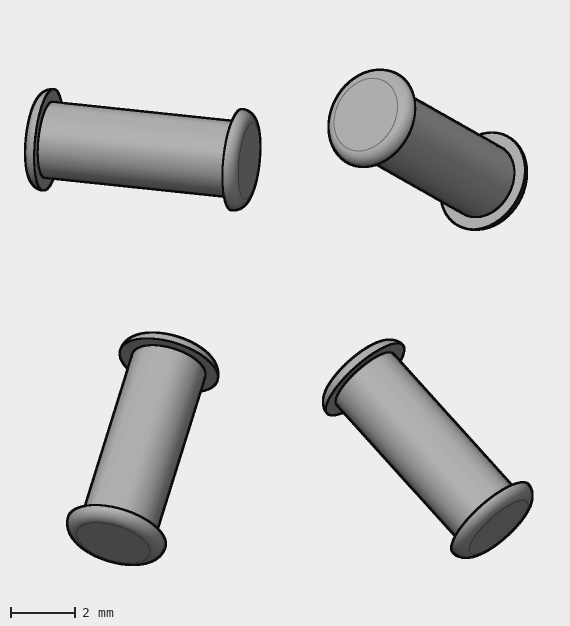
import cadquery as cq
import math

shank_diameter = 2.38
shank_length = 6.096
head_thickness = 0.397

shank_radius = shank_diameter / 2
head_radius = shank_radius + head_thickness
inner_face = shank_length / 2
outer_face = inner_face + head_thickness
arc_offset = head_thickness * math.sqrt(0.5)


def rivet_half_profile():
    """Half section in the XZ plane: shank with a round-edged head at each end."""
    return (
        cq.Workplane("XZ")
        .moveTo(-outer_face, 0)
        .lineTo(-outer_face, shank_radius)
        .threePointArc(
            (-inner_face - arc_offset, shank_radius + arc_offset),
            (-inner_face, head_radius),
        )
        .lineTo(-inner_face, shank_radius)
        .lineTo(inner_face, shank_radius)
        .lineTo(inner_face, head_radius)
        .threePointArc(
            (inner_face + arc_offset, shank_radius + arc_offset),
            (outer_face, shank_radius),
        )
        .lineTo(outer_face, 0)
        .close()
    )


result = rivet_half_profile().revolve(360, (0, 0, 0), (1, 0, 0))